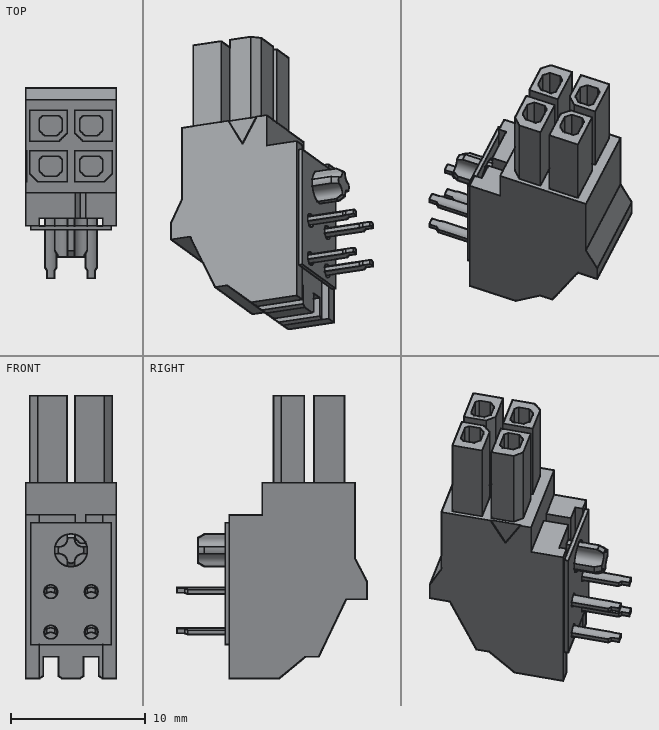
import cadquery as cq


PITCH = 3.0

WIDTH = 6.71
TOTAL_HEIGHT = 20.98
SHOULDER_Z = 14.52
SHELF_Z = 12.13
SHELF_DEPTH = 2.45
BACK_Y = 9.34
LATCH_Y = 10.24
LATCH_HEEL_Y = 8.69
LATCH_BOTTOM_Z = 5.87
LATCH_TOP_Z = 7.18
LATCH_ROOT_Z = 8.92
TAIL_Y = 6.65
TAIL_FRONT_Y = 5.66
TAIL_Z = 1.62
FOOT_Y = 3.71

TOWER_WIDTH = 2.77
TOWER_DEPTH = 2.29
TOWER_COLUMN_X = 1.68
TOWER_CHAMFER = 0.59
REAR_ROW_Y = 7.43
FRONT_ROW_Y = REAR_ROW_Y - PITCH
CAVITY_WIDTH = 1.72
CAVITY_DEPTH = 1.5
CAVITY_REAR_CHAMFER = 0.25
CAVITY_FRONT_CHAMFER = 0.4

MARK_HEIGHT = 1.95
MARK_DEPTH = 0.06

POCKET_WIDTH = 4.7
POCKET_DEPTH = 0.57
SLOT_LEFT_X = 0.31
SLOT_RIGHT_X = 1.1
SLOT_BEVEL = 0.35
SLOT_DEPTH = 2.1
NOTCH_WIDTH = 1.11
NOTCH_FLARE = 0.27
NOTCH_FLARE_HEIGHT = 0.19

PLATE_WIDTH = 6.0
PLATE_BOTTOM_Z = 2.52
PLATE_TOP_Z = 11.55
PLATE_THICKNESS = 0.3

POST_Z = 9.5
POST_RADIUS = 1.22
POST_END_Y = -2.3
POST_CHAMFER = 0.27
POST_CHAMFER_LENGTH = 0.48
POST_ARM_WIDTH = 0.52
POST_FLAT_START = 0.97
POST_FLUTE_MID = 0.45

PIN_HOLE_RADIUS = 0.5
LOWER_HOLE_Z = 3.45
PIN_DROP = 0.19
PIN_WIDTH = 0.85
PIN_THICKNESS = 0.34
PIN_ARCH = 0.17
PIN_TIP_WIDTH = 0.59
PIN_SHOULDER_Y = -3.08
PIN_NECK_Y = -3.3
PIN_END_Y = -3.88

COLUMN_SIDES = (-1, 1)
HOLE_ROWS_Z = (LOWER_HOLE_Z, LOWER_HOLE_Z + PITCH)


def block(x_range, y_range, z_range):
    """Axis-aligned block between the given limits."""
    lows, highs = zip(x_range, y_range, z_range)
    sizes = [high - low for low, high in zip(lows, highs)]
    return cq.Workplane("XY").box(*sizes, centered=False).translate(lows)


def along_y(start_y, x=0, z=0):
    """Sketch plane facing the board side, so that extrusion runs toward -Y."""
    return cq.Workplane("XZ", origin=(x, start_y, z))


def housing():
    side_outline = [
        (0, 0),
        (0, SHELF_Z),
        (SHELF_DEPTH, SHELF_Z),
        (SHELF_DEPTH, SHOULDER_Z),
        (BACK_Y, SHOULDER_Z),
        (BACK_Y, LATCH_ROOT_Z),
        (LATCH_Y, LATCH_TOP_Z),
        (LATCH_Y, LATCH_BOTTOM_Z),
        (LATCH_HEEL_Y, LATCH_BOTTOM_Z),
        (TAIL_Y, TAIL_Z),
        (TAIL_FRONT_Y, TAIL_Z),
        (FOOT_Y, 0),
    ]
    return cq.Workplane("YZ").polyline(side_outline).close().extrude(WIDTH / 2, both=True)


def tower(side, row_y, chamfer_selector):
    """Tower with one chamfered corner on its board side."""
    height = TOTAL_HEIGHT - SHOULDER_Z
    return (
        cq.Workplane("XY", origin=(side * TOWER_COLUMN_X, row_y, SHOULDER_Z))
        .rect(TOWER_WIDTH, TOWER_DEPTH)
        .extrude(height)
        .edges("|Z and <Y")
        .edges(chamfer_selector)
        .chamfer(TOWER_CHAMFER)
    )


def cavity(side, row_y):
    """Contact cavity as deep as the tower, with larger chamfers on the board side."""
    return (
        cq.Workplane("XY", origin=(side * PITCH / 2, row_y, SHOULDER_Z))
        .rect(CAVITY_WIDTH, CAVITY_DEPTH)
        .extrude(TOTAL_HEIGHT - SHOULDER_Z)
        .edges("|Z and >Y")
        .chamfer(CAVITY_REAR_CHAMFER)
        .edges("|Z and <Y")
        .chamfer(CAVITY_FRONT_CHAMFER)
    )


def pin_one_mark():
    half_base = TOWER_DEPTH / 2
    return (
        cq.Workplane("YZ", origin=(-WIDTH / 2, FRONT_ROW_Y, SHOULDER_Z))
        .polyline([(-half_base, 0), (half_base, 0), (0, -MARK_HEIGHT)])
        .close()
        .extrude(MARK_DEPTH)
    )


def shelf_slot():
    """Slot across the shelf, with a bevel along one side of its floor."""
    floor_z = SHELF_Z - SLOT_DEPTH
    outline = [
        (SLOT_LEFT_X, SHELF_Z),
        (SLOT_LEFT_X, floor_z + SLOT_BEVEL),
        (SLOT_LEFT_X + SLOT_BEVEL, floor_z),
        (SLOT_RIGHT_X, floor_z),
        (SLOT_RIGHT_X, SHELF_Z),
    ]
    return along_y(SHELF_DEPTH).polyline(outline).close().extrude(SHELF_DEPTH)


def bottom_notch(side):
    """Notch through the foot along Y, flared at its mouth."""
    half = NOTCH_WIDTH / 2
    outline = [
        (-half - NOTCH_FLARE, 0),
        (-half, NOTCH_FLARE_HEIGHT),
        (-half, TAIL_Z),
        (half, TAIL_Z),
        (half, NOTCH_FLARE_HEIGHT),
        (half + NOTCH_FLARE, 0),
    ]
    return along_y(TAIL_FRONT_Y, x=side * PITCH / 2).polyline(outline).close().extrude(TAIL_FRONT_Y)


def cover_plate():
    """Plate with clearance holes for the post and the pins."""
    plate = block(
        (-PLATE_WIDTH / 2, PLATE_WIDTH / 2), (-PLATE_THICKNESS, 0), (PLATE_BOTTOM_Z, PLATE_TOP_Z)
    )
    plate = plate.cut(along_y(0, z=POST_Z).circle(POST_RADIUS).extrude(PLATE_THICKNESS))
    for side in COLUMN_SIDES:
        for hole_z in HOLE_ROWS_Z:
            hole = along_y(0, side * PITCH / 2, hole_z).circle(PIN_HOLE_RADIUS)
            plate = plate.cut(hole.extrude(PLATE_THICKNESS))
    return plate


def locating_post():
    """Round post rising from the pocket floor, fluted to leave four arms."""
    length = POCKET_DEPTH - POST_END_Y
    post = (
        along_y(POCKET_DEPTH, z=POST_Z)
        .circle(POST_RADIUS)
        .extrude(length)
        .faces("<Y")
        .chamfer(POST_CHAMFER_LENGTH, POST_CHAMFER)
    )
    half_arm = POST_ARM_WIDTH / 2
    flute = (
        along_y(POCKET_DEPTH, z=POST_Z)
        .moveTo(half_arm, POST_RADIUS)
        .lineTo(half_arm, POST_FLAT_START)
        .threePointArc((POST_FLUTE_MID, POST_FLUTE_MID), (POST_FLAT_START, half_arm))
        .lineTo(POST_RADIUS, half_arm)
        .lineTo(POST_RADIUS, POST_RADIUS)
        .close()
        .extrude(length)
    )
    axis_start = (0, 0, POST_Z)
    axis_end = (0, 1, POST_Z)
    for quarter in range(4):
        post = post.cut(flute.rotate(axis_start, axis_end, 90 * quarter))
    return post


def solder_pin(x, hole_z):
    """Arched strip trimmed in plan to a shouldered, narrower tip."""
    half = PIN_WIDTH / 2
    half_tip = PIN_TIP_WIDTH / 2
    strip = (
        along_y(POCKET_DEPTH, x, hole_z - PIN_DROP)
        .moveTo(-half, 0)
        .threePointArc((0, PIN_ARCH), (half, 0))
        .lineTo(half, PIN_THICKNESS)
        .threePointArc((0, PIN_THICKNESS + PIN_ARCH), (-half, PIN_THICKNESS))
        .close()
        .extrude(POCKET_DEPTH - PIN_END_Y)
    )
    plan = [
        (-half, POCKET_DEPTH),
        (-half, PIN_SHOULDER_Y),
        (-half_tip, PIN_NECK_Y),
        (-half_tip, PIN_END_Y),
        (half_tip, PIN_END_Y),
        (half_tip, PIN_NECK_Y),
        (half, PIN_SHOULDER_Y),
        (half, POCKET_DEPTH),
    ]
    plan_prism = cq.Workplane("XY", origin=(x, 0, 0)).polyline(plan).close().extrude(TOTAL_HEIGHT)
    return strip.intersect(plan_prism)


body = housing()

for side in COLUMN_SIDES:
    outer, inner = ("<X", ">X") if side < 0 else (">X", "<X")
    for row_y, chamfer_selector in ((REAR_ROW_Y, inner), (FRONT_ROW_Y, outer)):
        body = body.union(tower(side, row_y, chamfer_selector))
        body = body.cut(cavity(side, row_y))

body = body.cut(pin_one_mark())
body = body.cut(block((-POCKET_WIDTH / 2, POCKET_WIDTH / 2), (0, POCKET_DEPTH), (0, SHELF_Z)))
body = body.cut(shelf_slot())
for side in COLUMN_SIDES:
    body = body.cut(bottom_notch(side))

body = body.union(cover_plate())
body = body.union(locating_post())
for side in COLUMN_SIDES:
    for hole_z in HOLE_ROWS_Z:
        body = body.union(solder_pin(side * PITCH / 2, hole_z))

result = body